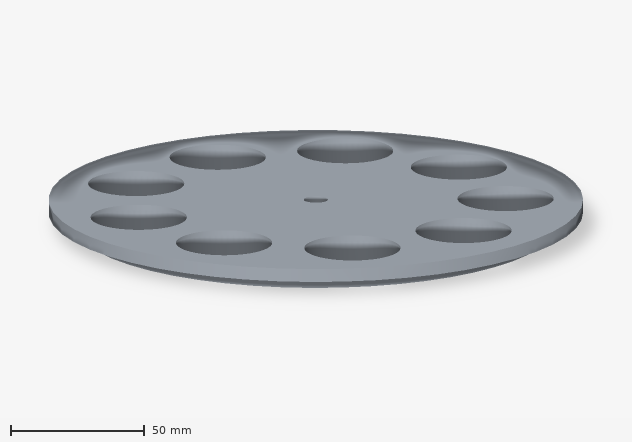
import cadquery as cq

flange_diameter = 200.0
flange_thickness = 5.0
spigot_diameter = 180.0
spigot_thickness = 5.0
total_thickness = flange_thickness + spigot_thickness

center_hole_diameter = 9.0
pocket_hole_diameter = 36.0
pocket_hole_count = 9
pocket_rim_wall = 1.0
pocket_circle_radius = (spigot_diameter - pocket_hole_diameter) / 2 - pocket_rim_wall
first_pocket_angle = 90.0


def stepped_disc():
    """Spigot standing on Z = 0 with the wider flange on top of it."""
    spigot = cq.Workplane("XY").circle(spigot_diameter / 2).extrude(spigot_thickness)
    flange = (
        cq.Workplane("XY")
        .workplane(offset=spigot_thickness)
        .circle(flange_diameter / 2)
        .extrude(flange_thickness)
    )
    return spigot.union(flange)


def center_hole():
    """Cutter for the axle hole."""
    return cq.Workplane("XY").circle(center_hole_diameter / 2).extrude(total_thickness)


def pocket_holes():
    """Cutters for the ring of equally spaced large holes."""
    return (
        cq.Workplane("XY")
        .polarArray(pocket_circle_radius, first_pocket_angle, 360, pocket_hole_count)
        .circle(pocket_hole_diameter / 2)
        .extrude(total_thickness)
    )


result = stepped_disc().cut(center_hole()).cut(pocket_holes())